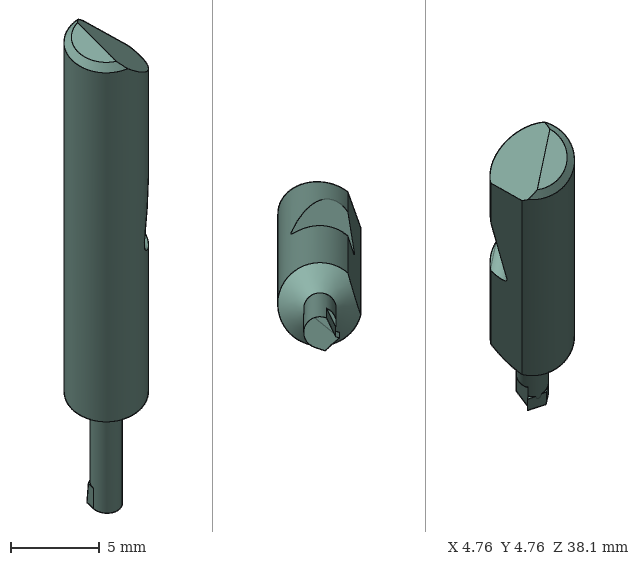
import cadquery as cq
import math

total_length = 38.1
shank_radius = 2.38
neck_radius = 0.9
shank_bottom = 9.15
cone_bottom = shank_bottom - (shank_radius - neck_radius)
top_chamfer = 0.42

slope_top_y = -0.65
flat_distance = 2.02
flat_angle = 145.0

notch_bottom = 21.07
notch_top = 29.95
notch_radius = 1.1
notch_floor_angle = 9.3

tip_x = -1.125
tip_y = 0.057
head_height = 1.8
heel_bottom_x = -0.6
heel_top_x = -0.45
head_inner_x = 0.05
rake_angle = 136.0
rake_top = 3.15
end_relief_angle = 5.0
end_cut_angle = 2.0

oversize = 2 * shank_radius


def make_blank():
    """Revolved shank, cone and neck."""
    half_profile = [
        (0, 0),
        (neck_radius, 0),
        (neck_radius, cone_bottom),
        (shank_radius, shank_bottom),
        (shank_radius, total_length - top_chamfer),
        (shank_radius - top_chamfer, total_length),
        (0, total_length),
    ]
    return cq.Workplane("XZ").polyline(half_profile).close().revolve(360, (0, 0), (0, 1))


def side_cutter(angle, distance, bottom, top):
    """Block whose inner face is an upright plane facing the given angle."""
    return (
        cq.Workplane("XY")
        .box(oversize, 2 * oversize, top - bottom, centered=(False, True, False))
        .translate((distance, 0, bottom))
        .rotate((0, 0, 0), (0, 0, 1), angle)
    )


def through_cutter(outline):
    """Extrude a closed YZ outline across the full width."""
    return outline.close().extrude(oversize, both=True)


def make_top_slope():
    """45 degree bevel that removes the back of the top end."""
    reach = oversize
    outline = cq.Workplane("YZ").polyline([
        (slope_top_y, total_length),
        (slope_top_y + reach, total_length - reach),
        (slope_top_y + reach, total_length),
    ])
    return through_cutter(outline)


def make_notch():
    """Sloping floor that runs tangentially into a quarter-round lower end."""
    slope = math.radians(notch_floor_angle)
    center_z = notch_bottom + notch_radius
    center_y = (
        shank_radius
        - (notch_top - center_z) * math.tan(slope)
        + notch_radius / math.cos(slope)
    )

    def on_round(angle):
        return (
            center_y + notch_radius * math.cos(angle),
            center_z + notch_radius * math.sin(angle),
        )

    floor_angle = math.pi - slope
    bottom_angle = 1.5 * math.pi
    outer_y = oversize
    outer_z = notch_top + (outer_y - shank_radius) / math.tan(slope)
    outline = (
        cq.Workplane("YZ")
        .moveTo(outer_y, outer_z)
        .lineTo(*on_round(floor_angle))
        .threePointArc(on_round((floor_angle + bottom_angle) / 2), on_round(bottom_angle))
        .lineTo(outer_y, notch_bottom)
    )
    return through_cutter(outline)


def head_outline(heel_x):
    """Head section: cutting face, relief flank down to the heel, front flat."""
    return [
        (tip_x, tip_y),
        (heel_x, -neck_radius),
        (head_inner_x, -neck_radius),
        (head_inner_x, tip_y),
    ]


def make_head():
    """Cutting head that projects beyond the neck; its heel leans with height."""
    return (
        cq.Workplane("XY")
        .polyline(head_outline(heel_bottom_x))
        .close()
        .workplane(offset=head_height)
        .polyline(head_outline(heel_top_x))
        .close()
        .loft(ruled=True)
    )


def make_end_relief():
    """Block below the end face, which rises away from the cutting corner."""
    return (
        cq.Workplane("XY")
        .box(2 * oversize, 2 * oversize, oversize, centered=(True, True, False))
        .translate((0, 0, -oversize))
        .rotate((0, 0, 0), (1, 0, 0), -end_relief_angle)
        .rotate((0, 0, 0), (0, 1, 0), -end_cut_angle)
        .translate((tip_x, tip_y, 0))
    )


edge_x = -math.sqrt(neck_radius**2 - tip_y**2)
rake_direction = math.radians(rake_angle)
rake_distance = edge_x * math.cos(rake_direction) + tip_y * math.sin(rake_direction)

shank_flat = side_cutter(flat_angle, flat_distance, cone_bottom, total_length)
rake = side_cutter(rake_angle, rake_distance, -oversize, rake_top)

result = (
    make_blank()
    .cut(shank_flat)
    .cut(make_top_slope())
    .cut(make_notch())
    .cut(rake)
    .union(make_head())
    .cut(make_end_relief())
)